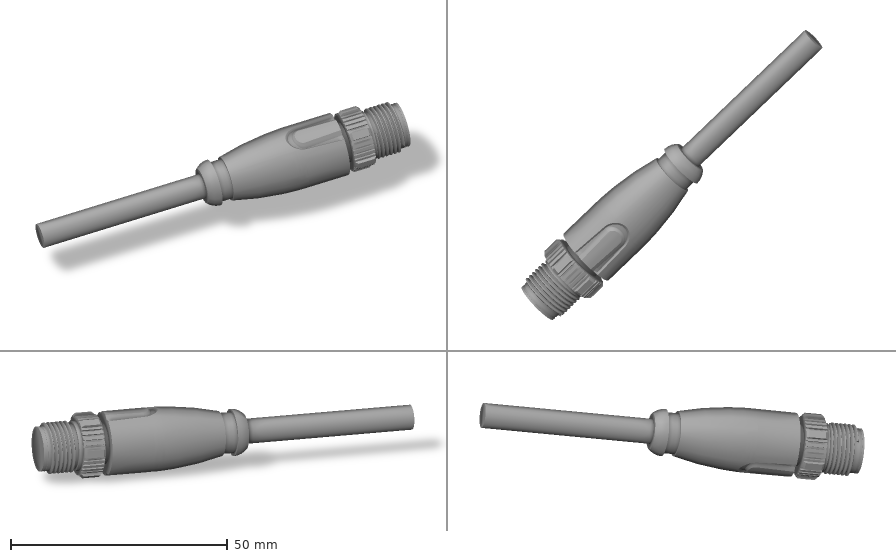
import cadquery as cq
import math


RING_START = 0.5
RING_END = 1.0
THREAD_START = 1.7
THREAD_END = 7.85
COLLAR_START = 8.3
NUT_START = 9.2
NUT_END = 14.3
GRIP_START = 15.8
GRIP_TAPER_START = 26.0
GRIP_END = 43.7
FLANGE_START = 46.6
FLANGE_END = 49.6
CABLE_END = 89.7

PLUG_RADIUS = 5.25
THREAD_RADIUS = 6.0
COLLAR_RADIUS = 5.8
NECK_RADIUS = 4.75
GRIP_RADIUS = 7.5
GRIP_END_RADIUS = 5.25
FLANGE_RADIUS = 5.5
FLANGE_END_RADIUS = 4.2
CABLE_RADIUS = 2.9

RING_DEPTH = 0.1

PITCH = 1.0
THREAD_BASE_HALF = 0.42
THREAD_CREST_HALF = 0.1
THREAD_SINK = 0.15

NUT_CORE_RADIUS = 6.45
KNURL_RADIUS = 6.9
KNURL_WIDTH = 0.75
KNURL_STEP = 10.5
KNURLS_PER_GROUP = 5
PAD_COUNT = 6
PAD_RADIUS = 7.6
PAD_WIDTH = 1.75
PAD_CHAMFER = 0.6

TROUGH_DEPTH = 0.6
TROUGH_FRONT_HALF = 4.9
TROUGH_TIP_RADIUS = 4.2
TROUGH_LENGTH = 13.0
TROUGH_WALL_ANGLE = 45.0
TONGUE_FRONT_HALF = 1.35
TONGUE_TIP_RADIUS = 1.65
TONGUE_LENGTH = 10.7
TONGUE_WALL_ANGLE = 45.0
LABEL_CUT_HEIGHT = 1.8
FRONT_OVERRUN = 1.0


def cylinder(radius, start, end):
    """Solid cylinder on the Y axis between two stations."""
    return cq.Workplane("XZ", origin=(0, -start, 0)).circle(radius).extrude(end - start)


def falling_arc_radius(run, drop):
    """Radius of an arc that starts along the axis and falls by `drop` over `run`."""
    return (run**2 + drop**2) / (2 * drop)


def tangent_arc_middle(start, start_radius, end, end_radius):
    """Point halfway along an arc that leaves `start_radius` parallel to the axis."""
    run = end - start
    arc_radius = falling_arc_radius(run, start_radius - end_radius)
    half_angle = math.asin(run / arc_radius) / 2
    fall = arc_radius * (1 - math.cos(half_angle))
    return (start_radius - fall, -(start + arc_radius * math.sin(half_angle)))


def make_body():
    """Plug, necks, grip, flange and cable as one turned profile."""
    ring_floor = PLUG_RADIUS - RING_DEPTH
    grip_middle = tangent_arc_middle(GRIP_TAPER_START, GRIP_RADIUS, GRIP_END, GRIP_END_RADIUS)
    flange_middle = tangent_arc_middle(FLANGE_START, FLANGE_RADIUS, FLANGE_END, FLANGE_END_RADIUS)
    profile = (
        cq.Workplane("XY")
        .lineTo(PLUG_RADIUS, 0)
        .lineTo(PLUG_RADIUS, -RING_START)
        .lineTo(ring_floor, -RING_START)
        .lineTo(ring_floor, -RING_END)
        .lineTo(PLUG_RADIUS, -RING_END)
        .lineTo(PLUG_RADIUS, -COLLAR_START)
        .lineTo(COLLAR_RADIUS, -COLLAR_START)
        .lineTo(COLLAR_RADIUS, -NUT_START)
        .lineTo(NECK_RADIUS, -NUT_START)
        .lineTo(NECK_RADIUS, -GRIP_START)
        .lineTo(GRIP_RADIUS, -GRIP_START)
        .lineTo(GRIP_RADIUS, -GRIP_TAPER_START)
        .threePointArc(grip_middle, (GRIP_END_RADIUS, -GRIP_END))
        .lineTo(NECK_RADIUS, -GRIP_END)
        .lineTo(NECK_RADIUS, -FLANGE_START)
        .lineTo(FLANGE_RADIUS, -FLANGE_START)
        .threePointArc(flange_middle, (FLANGE_END_RADIUS, -FLANGE_END))
        .lineTo(CABLE_RADIUS, -FLANGE_END)
        .lineTo(CABLE_RADIUS, -CABLE_END)
        .lineTo(0, -CABLE_END)
        .close()
    )
    return profile.revolve(360, (0, 0, 0), (0, 1, 0))


def make_thread():
    """Right-handed external thread that stops just short of the collar."""
    helix = cq.Wire.makeHelix(PITCH, THREAD_END - THREAD_START, PLUG_RADIUS)
    tooth = (
        cq.Workplane("XZ")
        .moveTo(PLUG_RADIUS - THREAD_SINK, -THREAD_BASE_HALF)
        .lineTo(THREAD_RADIUS, -THREAD_CREST_HALF)
        .lineTo(THREAD_RADIUS, THREAD_CREST_HALF)
        .lineTo(PLUG_RADIUS - THREAD_SINK, THREAD_BASE_HALF)
        .close()
    )
    thread = tooth.sweep(cq.Workplane(obj=helix), isFrenet=True)
    return thread.rotate((0, 0, 0), (1, 0, 0), 90).translate((0, -THREAD_START, 0))


def make_nut_rib(width, radius, angle):
    """Bar across half of the nut, reaching `radius` with a flat outer face."""
    length = NUT_END - NUT_START
    middle = -(NUT_START + NUT_END) / 2
    bar = cq.Workplane("XY").box(radius, length, width).translate((radius / 2, middle, 0))
    return bar.rotate((0, 0, 0), (0, 1, 0), angle)


def make_nut():
    """Coupling nut with smooth pads and groups of knurl ridges between them."""
    nut = cylinder(NUT_CORE_RADIUS, NUT_START, NUT_END)
    pad_step = 360 / PAD_COUNT
    for pad in range(PAD_COUNT):
        nut = nut.union(make_nut_rib(PAD_WIDTH, PAD_RADIUS, pad * pad_step))
        group_angle = (pad + 0.5) * pad_step
        for ridge in range(KNURLS_PER_GROUP):
            offset = (ridge - (KNURLS_PER_GROUP - 1) / 2) * KNURL_STEP
            nut = nut.union(make_nut_rib(KNURL_WIDTH, KNURL_RADIUS, group_angle + offset))
    corner_radius = math.hypot(PAD_RADIUS, PAD_WIDTH / 2)
    envelope = cylinder(corner_radius, NUT_START, NUT_END).edges().chamfer(PAD_CHAMFER)
    return nut.intersect(envelope)


def make_label_shape(front_half, tip_radius, length, height, draft):
    """Round-tipped tongue hanging down from the top of the grip with drafted walls."""
    front = -GRIP_START + FRONT_OVERRUN
    tip = -GRIP_START - length
    shoulder = tip + tip_radius
    return (
        cq.Workplane("XY", origin=(0, 0, GRIP_RADIUS))
        .moveTo(-front_half, front)
        .lineTo(-tip_radius, shoulder)
        .threePointArc((0, tip), (tip_radius, shoulder))
        .lineTo(front_half, front)
        .close()
        .extrude(-height, taper=draft)
    )


def make_label_groove():
    """Cutter for the U-shaped trough on the top of the grip."""
    trough = make_label_shape(
        TROUGH_FRONT_HALF, TROUGH_TIP_RADIUS, TROUGH_LENGTH, LABEL_CUT_HEIGHT, TROUGH_WALL_ANGLE
    )
    tongue = make_label_shape(
        TONGUE_FRONT_HALF, TONGUE_TIP_RADIUS, TONGUE_LENGTH, LABEL_CUT_HEIGHT, -TONGUE_WALL_ANGLE
    )
    floor = cylinder(GRIP_RADIUS - TROUGH_DEPTH, NUT_END, GRIP_END)
    return trough.cut(tongue).cut(floor)


label_groove = make_label_groove()

result = (
    make_body()
    .cut(label_groove)
    .cut(label_groove.mirror("XY"))
    .union(make_thread())
    .union(make_nut())
)